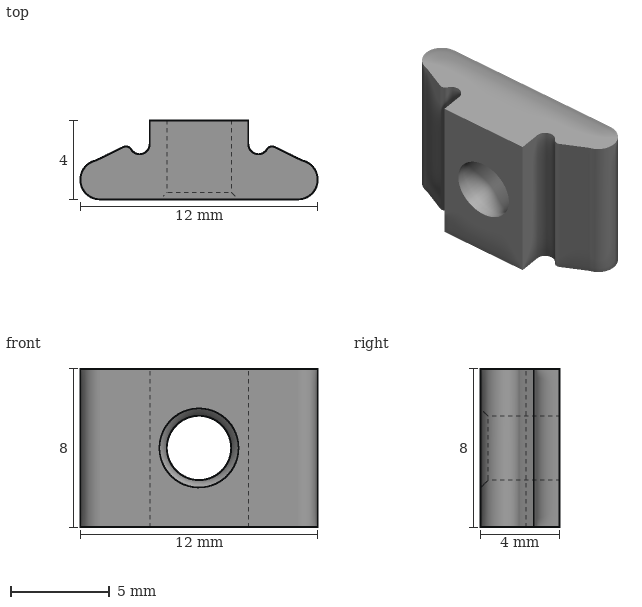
import cadquery as cq
import math

length = 12.0
depth = length / 3
height = length * 2 / 3
end_radius = depth / 4
neck_half_width = length * 5 / 24
groove_radius = neck_half_width / 5
groove_center_y = 2.8
tip_radius = 0.3
tip_center_y = 2.39
corner_angle = math.radians(78)
hole_diameter = 3.24
countersink_diameter = depth
countersink_depth = (countersink_diameter - hole_diameter) / 2


def on_circle(center, radius, angle):
    """Point on a circle at an angle measured from +X."""
    return (center[0] + radius * math.cos(angle), center[1] + radius * math.sin(angle))


def half_profile():
    """Right half of the T-shaped cross-section, with its front face on y = 0."""
    end_center = (length / 2 - end_radius, end_radius)
    groove_center = (neck_half_width + groove_radius, groove_center_y)

    center_distance = groove_radius + tip_radius
    tip_angle = math.asin((tip_center_y - groove_center_y) / center_distance)
    tip_center = on_circle(groove_center, center_distance, tip_angle)
    groove_end = on_circle(groove_center, groove_radius, tip_angle)
    groove_middle = on_circle(groove_center, groove_radius, (tip_angle - math.pi) / 2)

    shoulder_end = on_circle(end_center, end_radius, corner_angle)
    run = shoulder_end[0] - tip_center[0]
    drop = tip_center[1] - shoulder_end[1]
    normal_angle = math.acos(tip_radius / math.hypot(run, drop)) - math.atan2(drop, run)
    tip_end = on_circle(tip_center, tip_radius, normal_angle)
    tip_middle = on_circle(tip_center, tip_radius, (normal_angle + tip_angle + math.pi) / 2)

    return (
        cq.Workplane("XY")
        .moveTo(0, 0)
        .lineTo(end_center[0], 0)
        .threePointArc((length / 2, end_radius), shoulder_end)
        .lineTo(*tip_end)
        .threePointArc(tip_middle, groove_end)
        .threePointArc(groove_middle, (neck_half_width, groove_center_y))
        .lineTo(neck_half_width, depth)
        .lineTo(0, depth)
        .close()
    )


half_body = half_profile().extrude(height)
body = half_body.union(half_body.mirror("YZ")).clean()

hole_profile = (
    cq.Workplane("XY")
    .polyline([
        (0, 0),
        (countersink_diameter / 2, 0),
        (hole_diameter / 2, countersink_depth),
        (hole_diameter / 2, depth),
        (0, depth),
    ])
    .close()
)
hole = hole_profile.revolve(360, (0, 0, 0), (0, 1, 0)).translate((0, 0, height / 2))

result = body.cut(hole)